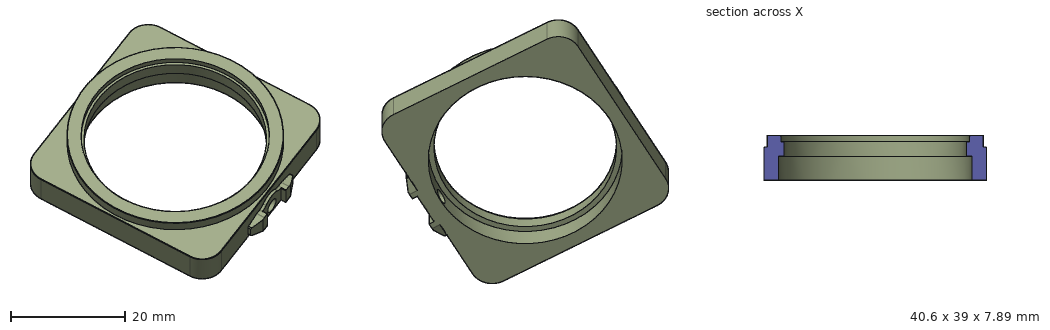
import cadquery as cq
import math

plate_side = 39.0
plate_height = 5.89
corner_radius = 4.0
edge_break = 0.1

collar_diameter = 38.0
collar_height = 2.0
total_height = plate_height + collar_height

bore_diameter = 32.0
top_recess_diameter = 33.0
top_recess_depth = 1.1
bottom_recess_diameter = 34.0
bottom_recess_depth = 4.2

fitting_height = 3.6
web_projection = 0.6
fitting_overlap = 0.3
hump_radius = 2.95
hump_center_z = 1.75
hump_foot_radius = 1.9
cross_hole_diameter = 2.7

lug_inner_y = 2.95
lug_flat_end_y = 4.0
lug_tip_y = 4.5
lug_outer_y = 6.9
lug_tip_projection = 1.6
lug_outer_projection = web_projection
lug_end_drop = 0.65
lug_end_bevel = 0.2

side_x = plate_side / 2
fitting_root_x = side_x - fitting_overlap


def make_body():
    plate = (
        cq.Workplane("XY")
        .rect(plate_side, plate_side)
        .extrude(plate_height)
        .edges("|Z")
        .fillet(corner_radius)
        .faces(">Z")
        .chamfer(edge_break)
    )
    collar = (
        cq.Workplane("XY")
        .circle(collar_diameter / 2)
        .extrude(total_height)
        .faces(">Z")
        .chamfer(edge_break)
    )
    return plate.union(collar)


def make_disc(diameter, bottom_z, height):
    return cq.Workplane("XY", origin=(0, 0, bottom_z)).circle(diameter / 2).extrude(height)


def make_bore():
    """Through bore together with its top and bottom recesses."""
    through = make_disc(bore_diameter, 0, total_height)
    top_recess = make_disc(top_recess_diameter, total_height - top_recess_depth, top_recess_depth)
    bottom_recess = make_disc(bottom_recess_diameter, 0, bottom_recess_depth)
    return through.union(top_recess).union(bottom_recess)


def make_lug():
    """Lug on the +Y side: tapered in plan, with its outer end narrowed in height."""
    bevel_start_y = lug_outer_y - lug_end_bevel
    plan = (
        cq.Workplane("XY")
        .moveTo(fitting_root_x, lug_inner_y)
        .lineTo(side_x + lug_tip_projection, lug_inner_y)
        .lineTo(side_x + lug_tip_projection, lug_tip_y)
        .lineTo(side_x + lug_outer_projection, lug_outer_y)
        .lineTo(fitting_root_x, lug_outer_y)
        .close()
        .extrude(fitting_height)
    )
    side_outline = (
        cq.Workplane("YZ", origin=(fitting_root_x, 0, 0))
        .moveTo(lug_inner_y, 0)
        .lineTo(lug_flat_end_y, 0)
        .lineTo(bevel_start_y, lug_end_drop)
        .lineTo(lug_outer_y, lug_end_drop + lug_end_bevel)
        .lineTo(lug_outer_y, fitting_height - lug_end_drop - lug_end_bevel)
        .lineTo(bevel_start_y, fitting_height - lug_end_drop)
        .lineTo(lug_flat_end_y, fitting_height)
        .lineTo(lug_inner_y + edge_break, fitting_height)
        .lineTo(lug_inner_y, fitting_height - edge_break)
        .close()
        .extrude(side_x + lug_tip_projection - fitting_root_x)
    )
    return plan.intersect(side_outline)


def make_web():
    """Web between the lugs; its top is a round hump that sweeps out into the lug tops."""
    foot_center_z = fitting_height + hump_foot_radius
    foot_center_y = math.sqrt(
        (hump_radius + hump_foot_radius) ** 2 - (foot_center_z - hump_center_z) ** 2
    )
    blend = hump_radius / (hump_radius + hump_foot_radius)
    blend_y = blend * foot_center_y
    blend_z = hump_center_z + blend * (foot_center_z - hump_center_z)
    foot_half_angle = 0.5 * math.atan2(foot_center_y, foot_center_z - hump_center_z)
    foot_middle_y = foot_center_y - hump_foot_radius * math.sin(foot_half_angle)
    foot_middle_z = foot_center_z - hump_foot_radius * math.cos(foot_half_angle)
    return (
        cq.Workplane("YZ", origin=(fitting_root_x, 0, 0))
        .moveTo(-lug_flat_end_y, 0)
        .lineTo(lug_flat_end_y, 0)
        .lineTo(lug_flat_end_y, fitting_height)
        .lineTo(foot_center_y, fitting_height)
        .threePointArc((foot_middle_y, foot_middle_z), (blend_y, blend_z))
        .threePointArc((0, hump_center_z + hump_radius), (-blend_y, blend_z))
        .threePointArc((-foot_middle_y, foot_middle_z), (-foot_center_y, fitting_height))
        .lineTo(-lug_flat_end_y, fitting_height)
        .close()
        .extrude(side_x + web_projection - fitting_root_x)
    )


def make_cross_hole():
    return (
        cq.Workplane("YZ", origin=(0, 0, hump_center_z))
        .circle(cross_hole_diameter / 2)
        .extrude(plate_side)
    )


lug = make_lug()
body = make_body().union(make_web()).union(lug).union(lug.mirror("XZ"))
result = body.cut(make_bore()).cut(make_cross_hole())